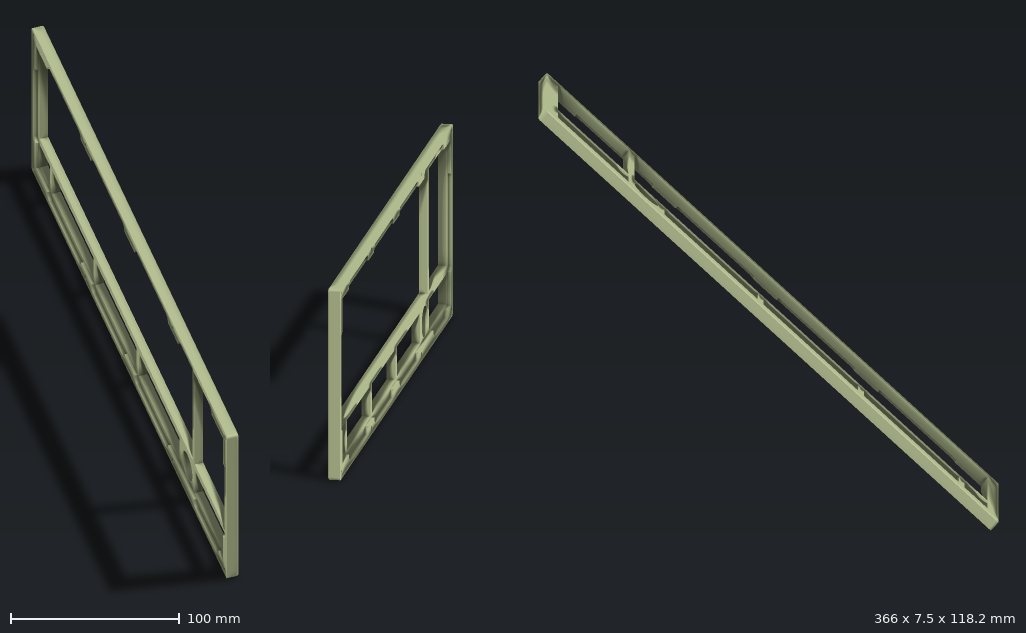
import cadquery as cq

LENGTH = 366.0
THICKNESS = 7.5
HEIGHT = 118.2
CORNER_RADIUS = 2.0
BACK_CHAMFER = 0.7

RIM_WIDTH = 8.0
RECESS_DEPTH = 2.0
WINDOW_MARGIN = 9.0

BAR_BOTTOM = 28.0
BAR_TOP = 33.0
POST_WIDTH = 4.5
POST_PITCH = 81.2
FIRST_POST_LEFT = 28.0
LOWER_POST_COUNT = 3
PANEL_LEFT = 270.8
TALL_POST_LEFT = 295.0
ROUND_DIAMETER = 19.0
ROUND_CENTER_X = 285.5

RELIEF_EDGE = 3.5
RELIEF_RADIUS = 4.5
UPPER_RELIEF_LENGTH = 63.0
UPPER_RELIEF_PITCH = 81.5
UPPER_RELIEF_COUNT = 4
LOWER_RELIEFS = ((29.3, 92.2), (111.5, 173.8), (193.0, 255.0), (303.5, 349.0))
SIDE_RELIEF_EDGE = 4.8
SIDE_RELIEF_RADIUS = 3.0
SIDE_RELIEF_BOTTOM = 29.0
SIDE_RELIEF_TOP = 89.5

HOLE_DIAMETER = 3.3
HOLE_DEPTH = 5.5
HOLE_INSET = 4.0
MIDDLE_HOLE_X = 101.5


def block(left, right, bottom, top, depth):
    """Box running back from the front face."""
    return cq.Workplane("XY").box(right - left, depth, top - bottom, centered=False).translate((left, 0, bottom))


def rounded_block(left, right, bottom, top, depth, radius):
    return block(left, right, bottom, top, depth).edges("|Y").fillet(radius)


def cylinder(x, z, diameter, depth):
    """Round cutter running back from the front face."""
    return cq.Workplane("XZ", origin=(x, 0, z)).circle(diameter / 2).extrude(-depth)


def make_plate():
    plate = rounded_block(0, LENGTH, 0, HEIGHT, THICKNESS, CORNER_RADIUS)
    return plate.faces(">Y").edges().chamfer(BACK_CHAMFER)


def cut_recess(body):
    return body.cut(block(RIM_WIDTH, LENGTH - RIM_WIDTH, RIM_WIDTH, HEIGHT - RIM_WIDTH, RECESS_DEPTH))


def cut_reliefs(body):
    reach = RIM_WIDTH + 2 * RELIEF_RADIUS
    upper_span = UPPER_RELIEF_LENGTH + (UPPER_RELIEF_COUNT - 1) * UPPER_RELIEF_PITCH
    upper_start = (LENGTH - upper_span) / 2
    upper_top = HEIGHT - RELIEF_EDGE
    for index in range(UPPER_RELIEF_COUNT):
        left = upper_start + index * UPPER_RELIEF_PITCH
        right = left + UPPER_RELIEF_LENGTH
        body = body.cut(rounded_block(left, right, HEIGHT - reach, upper_top, RECESS_DEPTH, RELIEF_RADIUS))
    for left, right in LOWER_RELIEFS:
        body = body.cut(rounded_block(left, right, RELIEF_EDGE, reach, RECESS_DEPTH, RELIEF_RADIUS))
    return body.cut(
        rounded_block(
            SIDE_RELIEF_EDGE,
            LENGTH - SIDE_RELIEF_EDGE,
            SIDE_RELIEF_BOTTOM,
            SIDE_RELIEF_TOP,
            RECESS_DEPTH,
            SIDE_RELIEF_RADIUS,
        )
    )


def cut_windows(body):
    window_right = LENGTH - WINDOW_MARGIN
    tall_post_right = TALL_POST_LEFT + POST_WIDTH

    for left, right in ((WINDOW_MARGIN, TALL_POST_LEFT), (tall_post_right, window_right)):
        body = body.cut(block(left, right, BAR_TOP, HEIGHT - WINDOW_MARGIN, THICKNESS))

    post_lefts = [FIRST_POST_LEFT + index * POST_PITCH for index in range(LOWER_POST_COUNT)]
    low_lefts = [WINDOW_MARGIN] + [left + POST_WIDTH for left in post_lefts] + [tall_post_right]
    low_rights = post_lefts + [PANEL_LEFT, window_right]
    for left, right in zip(low_lefts, low_rights):
        body = body.cut(block(left, right, WINDOW_MARGIN, BAR_BOTTOM, THICKNESS))

    round_center_z = (WINDOW_MARGIN + BAR_BOTTOM) / 2
    return body.cut(cylinder(ROUND_CENTER_X, round_center_z, ROUND_DIAMETER, THICKNESS))


def cut_screw_holes(body):
    for x in (HOLE_INSET, MIDDLE_HOLE_X, LENGTH - MIDDLE_HOLE_X, LENGTH - HOLE_INSET):
        for z in (HOLE_INSET, HEIGHT - HOLE_INSET):
            body = body.cut(cylinder(x, z, HOLE_DIAMETER, HOLE_DEPTH))
    return body


result = cut_screw_holes(cut_windows(cut_reliefs(cut_recess(make_plate()))))